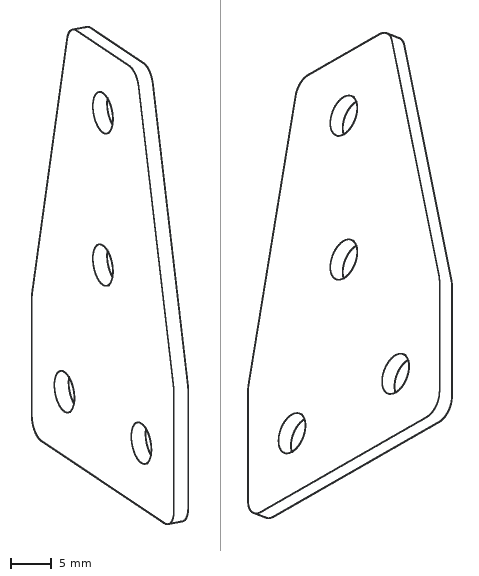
import cadquery as cq

height = 57.0
width = 37.0
thickness = 2.0
top_width = 17.65
shoulder_height = 18.3
corner_radius = 2.5

hole_diameter = 5.2
hole_pitch = 20.0
edge_distance = 8.5

half_width = width / 2
half_top = top_width / 2
bottom = -height / 2
top = height / 2
shoulder = bottom + shoulder_height
lower_row = bottom + edge_distance
front_face = (0, -thickness / 2, 0)

hole_centers = [
    (-hole_pitch / 2, lower_row),
    (hole_pitch / 2, lower_row),
    (0, lower_row + hole_pitch),
    (0, lower_row + 2 * hole_pitch),
]


def make_plate():
    """Tapered plate standing in XZ, with every outline corner rounded."""
    outline = [
        (-half_width, bottom),
        (half_width, bottom),
        (half_width, shoulder),
        (half_top, top),
        (-half_top, top),
        (-half_width, shoulder),
    ]
    plate = cq.Workplane("XZ", origin=front_face).polyline(outline).close().extrude(-thickness)
    return plate.edges("|Y").fillet(corner_radius)


def make_holes():
    """Cylinders that pass through the full plate thickness."""
    holes = cq.Workplane("XZ", origin=front_face).pushPoints(hole_centers).circle(hole_diameter / 2)
    return holes.extrude(-thickness)


result = make_plate().cut(make_holes())